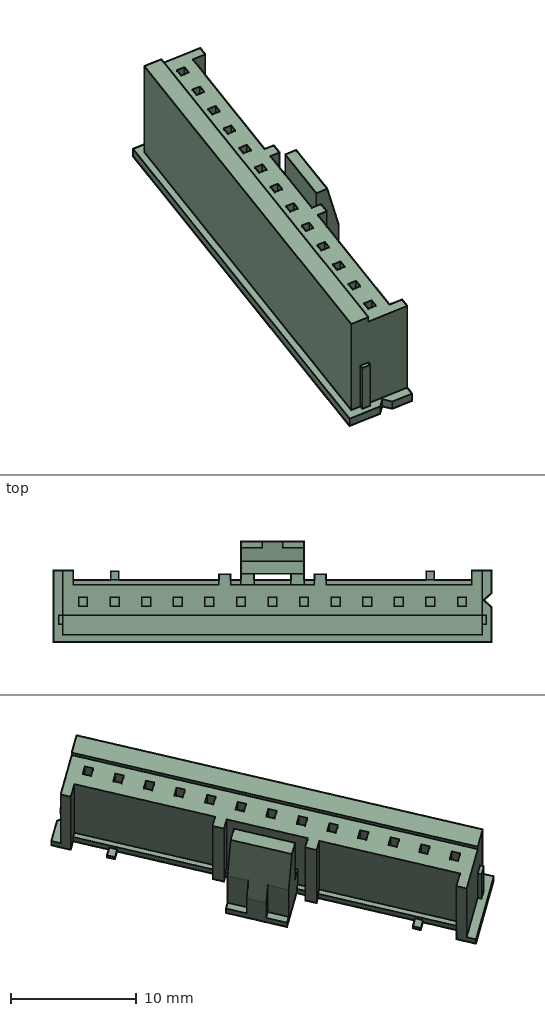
import cadquery as cq

length = 34.8
depth = 8.0
height = 10.5
flange_height = 0.85

body_length = 33.27
body_front = 0.6
body_back = 4.55
deck_height = 10.02
front_rail_back = 2.15
ledge_back = 4.95

end_back = 5.7
end_wall_thickness = 0.85
notch_center_y = 3.35
notch_half_width = 0.55
notch_depth = 0.63

contact_count = 13
contact_pitch = 2.5
contact_y = 3.2
contact_size = 0.7
contact_depth = 1.75

side_rib_width = 0.73
side_rib_projection = 0.3
side_rib_top = 5.43

key_x = 3.8
key_width = 0.95
key_back = 5.4
foot_x = 12.53
foot_width = 0.65
foot_back = 5.65
foot_height = flange_height / 2

latch_width = 5.0
latch_front = 5.43
latch_top_back = 6.45
latch_ramp_bottom = 3.7
latch_side_back = 7.48
latch_nose_width = 1.6
latch_leg_width = 1.05
latch_leg_top = latch_ramp_bottom


def block(x_range, y_range, z_range):
    """Box spanning the given (low, high) ranges."""
    (x0, x1), (y0, y1), (z0, z1) = x_range, y_range, z_range
    return cq.Workplane("XY").box(x1 - x0, y1 - y0, z1 - z0, centered=False).translate((x0, y0, z0))


def centered_span(center, width):
    """(low, high) range of the given width about a center."""
    return (center - width / 2, center + width / 2)


def make_flange():
    """Bottom flange with a back ledge and a V notch in its +X end."""
    flange = block(centered_span(0, length), (0, ledge_back), (0, flange_height))
    flange_end = (length - body_length) / 2 + end_wall_thickness
    for side in (-1, 1):
        end_x = centered_span(side * (length - flange_end) / 2, flange_end)
        flange = flange.union(block(end_x, (0, end_back), (0, flange_height)))
    notch = (
        cq.Workplane("XY")
        .moveTo(length / 2, notch_center_y - notch_half_width)
        .lineTo(length / 2 - notch_depth, notch_center_y)
        .lineTo(length / 2, notch_center_y + notch_half_width)
        .close()
        .extrude(flange_height)
    )
    return flange.cut(notch)


def make_body():
    """Housing with a raised front rail, end walls and side ribs."""
    body_x = centered_span(0, body_length)
    body = block(body_x, (body_front, body_back), (0, deck_height))
    body = body.union(block(body_x, (body_front, front_rail_back), (0, height)))
    for side in (-1, 1):
        wall_x = centered_span(side * (body_length - end_wall_thickness) / 2, end_wall_thickness)
        body = body.union(block(wall_x, (body_front, end_back), (0, deck_height)))
    ribs = block(
        centered_span(0, body_length + 2 * side_rib_projection),
        (front_rail_back - side_rib_width, front_rail_back),
        (0, side_rib_top),
    )
    return body.union(ribs)


def make_back_details():
    """Full-height guide keys beside the latch and low feet near the ends."""
    details = cq.Workplane("XY")
    for side in (-1, 1):
        key = block(centered_span(side * key_x, key_width), (body_front, key_back), (0, deck_height))
        foot = block(centered_span(side * foot_x, foot_width), (body_front, foot_back), (0, foot_height))
        details = details.union(key).union(foot)
    return details


def make_latch():
    """Ramped latch plate with a narrow nose, carried on two legs behind the body."""
    latch = (
        cq.Workplane("YZ")
        .moveTo(latch_front, 0)
        .lineTo(depth, 0)
        .lineTo(depth, latch_ramp_bottom)
        .lineTo(latch_top_back, height)
        .lineTo(latch_front, height)
        .close()
        .extrude(latch_width / 2, both=True)
    )
    side_width = (latch_width - latch_nose_width) / 2
    for side in (-1, 1):
        side_x = centered_span(side * (latch_width - side_width) / 2, side_width)
        latch = latch.cut(block(side_x, (latch_side_back, depth), (flange_height, height)))
        leg_x = centered_span(side * (latch_width - latch_leg_width) / 2, latch_leg_width)
        latch = latch.union(block(leg_x, (body_front, latch_front), (0, latch_leg_top)))
    return latch


def make_contact_holes():
    """Row of square blind holes sunk into the deck."""
    return (
        cq.Workplane("XY", origin=(0, contact_y, deck_height))
        .rarray(contact_pitch, 0.35, contact_count, 1)
        .rect(contact_size, contact_size)
        .extrude(-contact_depth)
    )


result = (
    make_flange()
    .union(make_body())
    .union(make_back_details())
    .union(make_latch())
    .cut(make_contact_holes())
)